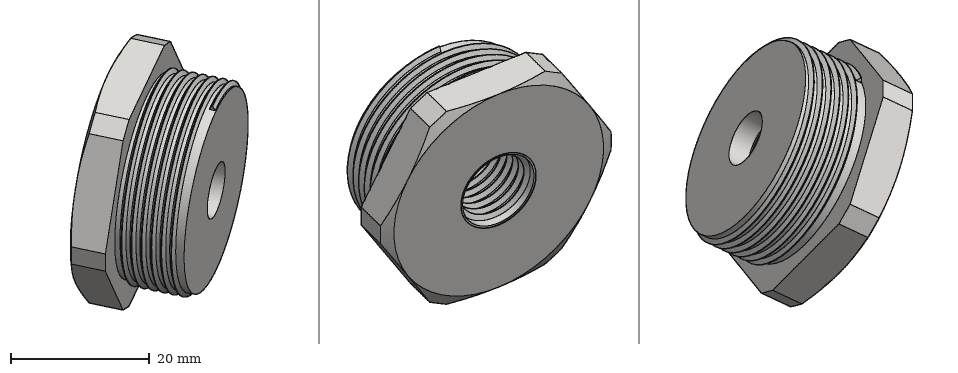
import cadquery as cq
import math

total_length = 16.4
across_flats = 36.0
across_corners = 39.65
head_thickness = 5.9
head_chamfer_depth = 0.75

pitch = 1.5
outer_root_diameter = 30.7
outer_crest_diameter = 32.12
outer_thread_start_angle = 110
outer_thread_end_angle = 180
outer_thread_turns = 6 + (outer_thread_end_angle - outer_thread_start_angle) / 360
outer_thread_end = 15.82
outer_thread_start = outer_thread_end - pitch * outer_thread_turns

entry_diameter = 12.9
entry_depth = 0.1
bore_diameter = 12.25
inner_crest_diameter = 10.65
through_diameter = 8.53
bore_depth = 11.9
drill_point_angle = 118.0
inner_thread_start = 1.2
inner_thread_turns = 6.0
inner_thread_start_angle = 180

ridge_base_width = 0.9
ridge_crest_width = 0.1
ridge_overlap = 0.1


def disc(diameter, start, length):
    """Cylinder along X."""
    return cq.Workplane("YZ", origin=(start, 0, 0)).circle(diameter / 2).extrude(length)


def hexagon(flat_distance, first_corner_angle):
    """Hexagonal prism as thick as the head, with a corner at the given angle from +Y."""
    corner_distance = flat_distance / math.cos(math.pi / 6)
    prism = cq.Workplane("YZ").polygon(6, corner_distance).extrude(head_thickness)
    return prism.rotate((0, 0, 0), (1, 0, 0), first_corner_angle)


def thread_ridge(root_diameter, crest_diameter, start, turns, start_angle):
    """Right-handed ridge along X; start_angle is measured from -Z towards +Y."""
    root = root_diameter / 2
    crest = crest_diameter / 2
    buried = root - math.copysign(ridge_overlap, crest - root)
    half_crest = ridge_crest_width / 2
    flank_slope = (ridge_base_width / 2 - half_crest) / abs(crest - root)
    half_buried = ridge_base_width / 2 + flank_slope * ridge_overlap
    path = cq.Workplane(obj=cq.Wire.makeHelix(pitch, pitch * turns, root))
    profile = cq.Workplane("XZ").polyline([
        (buried, -half_buried),
        (crest, -half_crest),
        (crest, half_crest),
        (buried, half_buried),
    ]).close()
    ridge = profile.sweep(path, isFrenet=True)
    ridge = ridge.rotate((0, 0, 0), (0, 0, 1), start_angle)
    return ridge.rotate((0, 0, 0), (0, 1, 0), 90).translate((start, 0, 0))


def make_head():
    """Hexagon with clipped corners and a conical chamfer around its face."""
    head = hexagon(across_flats, 0).intersect(hexagon(across_corners, 30))
    face_radius = across_flats / 2
    slope = (across_corners / 2 - face_radius) / head_chamfer_depth
    chamfer_cone = (
        cq.Workplane("XY")
        .polyline([
            (0, 0),
            (0, face_radius),
            (head_thickness, face_radius + slope * head_thickness),
            (head_thickness, 0),
        ])
        .close()
        .revolve(360, (0, 0, 0), (1, 0, 0))
    )
    return head.intersect(chamfer_cone)


def make_bore():
    """Shallow counterbore and a bore that narrows through a drill-point cone to the through hole."""
    entry_radius = entry_diameter / 2
    bore_radius = bore_diameter / 2
    through_radius = through_diameter / 2
    cone_length = (bore_radius - through_radius) / math.tan(math.radians(drill_point_angle / 2))
    return (
        cq.Workplane("XY")
        .polyline([
            (0, 0),
            (0, entry_radius),
            (entry_depth, entry_radius),
            (entry_depth, bore_radius),
            (bore_depth, bore_radius),
            (bore_depth + cone_length, through_radius),
            (total_length, through_radius),
            (total_length, 0),
        ])
        .close()
        .revolve(360, (0, 0, 0), (1, 0, 0))
    )


spigot = disc(outer_root_diameter, head_thickness, total_length - head_thickness)
outer_ridge = thread_ridge(
    outer_root_diameter,
    outer_crest_diameter,
    outer_thread_start,
    outer_thread_turns,
    outer_thread_start_angle,
)
inner_ridge = thread_ridge(
    bore_diameter,
    inner_crest_diameter,
    inner_thread_start,
    inner_thread_turns,
    inner_thread_start_angle,
)

result = make_head().union(spigot).union(outer_ridge).cut(make_bore()).union(inner_ridge)